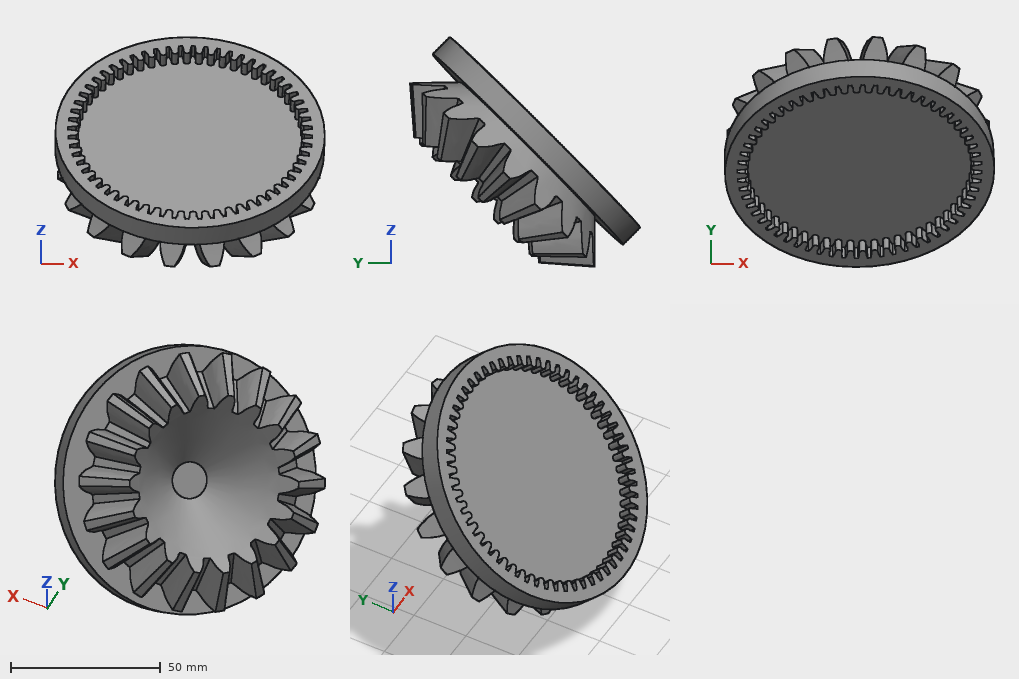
import cadquery as cq
import math

plate_radius = 45.0
plate_thickness = 8.0
pocket_depth = 5.0
ring_teeth = 60
ring_root_radius = 40.8
ring_tip_radius = 37.3
notch_root_width = 1.1
notch_mouth_width = 1.8
notch_mouth_outer_radius = 39.3
notch_mouth_inner_radius = 38.1
ring_phase = -1.5

module = 4.5
bevel_teeth = 18
pressure_angle = math.radians(20)
face_width = 18
pitch_circle_depth = 16.95
root_land = 3.1
bevel_phase = 1.5

flank_steps = 5
gap_overshoot = 5.4
gap_heel_scale = 1.25
gap_toe_scale = 0.5

lean = 1.3
tilt = 45

pitch_radius = module * bevel_teeth / 2
pitch_distance = pitch_radius * math.sqrt(2)
base_distance = pitch_distance * math.cos(pressure_angle)
flank_start = 0.8 * base_distance + 0.2 * pitch_distance
apex_depth = pitch_circle_depth + pitch_radius
addendum = module
dedendum = 1.25 * module


def polar(radius, angle):
    """Point at a radius and an angle in radians."""
    return (radius * math.cos(angle), radius * math.sin(angle))


def make_plate():
    return cq.Workplane("XY").circle(plate_radius).extrude(-plate_thickness)


def make_ring_pocket():
    """Blind pocket shaped as the internal gear, drawn one notch and one rounded tooth tip at a time."""
    pitch = 2 * math.pi / ring_teeth
    root = math.asin(notch_root_width / 2 / ring_root_radius)
    outer = math.asin(notch_mouth_width / 2 / notch_mouth_outer_radius)
    inner = math.asin(notch_mouth_width / 2 / notch_mouth_inner_radius)
    outline = cq.Workplane("XY").moveTo(*polar(notch_mouth_inner_radius, -inner))
    for i in range(ring_teeth):
        middle = i * pitch
        outline = (
            outline.lineTo(*polar(notch_mouth_outer_radius, middle - outer))
            .lineTo(*polar(ring_root_radius, middle - root))
            .lineTo(*polar(ring_root_radius, middle + root))
            .lineTo(*polar(notch_mouth_outer_radius, middle + outer))
            .lineTo(*polar(notch_mouth_inner_radius, middle + inner))
            .threePointArc(
                polar(ring_tip_radius, middle + pitch / 2),
                polar(notch_mouth_inner_radius, middle + pitch - inner),
            )
        )
    pocket = outline.close().extrude(-pocket_depth)
    return pocket.rotate((0, 0, 0), (0, 0, 1), ring_phase)


def tooth_tip(scale):
    """Radius and height of the tooth tip at the heel, or scaled toward the apex."""
    radius = pitch_radius + addendum * math.sqrt(0.5)
    rise = pitch_radius - addendum * math.sqrt(0.5)
    return (radius * scale, rise * scale - apex_depth)


def plate_back_radius(tip):
    """Radius where a 45 degree cone running inward from a tooth tip meets the plate back."""
    radius, height = tip
    return radius + height + plate_thickness


def make_bevel_blank():
    """Revolved blank: heel and toe are parallel cones, the toe cone hollowing the gear up to the plate."""
    heel_tip = tooth_tip(1)
    toe_tip = tooth_tip(1 - face_width / pitch_distance)
    profile = [
        (plate_back_radius(toe_tip), -plate_thickness),
        (plate_back_radius(heel_tip), -plate_thickness),
        heel_tip,
        toe_tip,
    ]
    return cq.Workplane("XZ").polyline(profile).close().revolve(360, (0, 0), (0, 1))


def flat_radius(distance):
    """Radius at which a back cone distance appears on the flat gap section, seen from the apex."""
    radius = distance * math.sqrt(0.5)
    return radius * pitch_radius / (2 * pitch_radius - radius)


def gap_half_angle(distance):
    """Half angle of the involute gap about the gear axis, at a back cone distance."""
    involute = math.tan(pressure_angle) - pressure_angle
    roll = math.acos(base_distance / distance)
    quarter_pitch = math.pi * module / 4 / pitch_distance
    cone_angle = quarter_pitch - involute + math.tan(roll) - roll
    return cone_angle * math.sqrt(2)


def gap_section(scale):
    """Closed outline of one tooth gap, scaled toward the apex: involute flanks closing in to a narrow root."""
    root_distance = pitch_distance - dedendum
    root_half_angle = math.asin(root_land / 2 / (root_distance * math.sqrt(0.5)))
    flank = [(flat_radius(root_distance), root_half_angle)]
    span = pitch_distance + gap_overshoot - flank_start
    for i in range(flank_steps + 1):
        distance = flank_start + span * i / flank_steps
        flank.append((flat_radius(distance), gap_half_angle(distance)))
    right = [polar(radius * scale, -angle) for radius, angle in flank]
    left = [polar(radius * scale, angle) for radius, angle in flank]
    outline = (
        cq.Workplane("XY", origin=(0, 0, pitch_radius * scale - apex_depth))
        .moveTo(*right[0])
        .spline(right[1:], includeCurrent=True)
        .lineTo(*left[-1])
        .spline(left[-2::-1], includeCurrent=True)
        .close()
    )
    return outline.wire().val()


def make_gap():
    """Tooth gap tapering toward the apex, longer than the blank at both ends."""
    return cq.Solid.makeLoft([gap_section(gap_heel_scale), gap_section(gap_toe_scale)], True)


def make_bevel_gear():
    gap = make_gap()
    step = 360 / bevel_teeth
    gaps = []
    for i in range(bevel_teeth):
        gaps.append(gap.rotate((0, 0, 0), (0, 0, 1), bevel_phase + (i + 0.5) * step))
    return make_bevel_blank().cut(cq.Workplane(cq.Compound.makeCompound(gaps)))


body = make_plate().union(make_bevel_gear()).cut(make_ring_pocket())
leaned = body.rotate((0, 0, 0), (0, 1, 0), lean)
result = leaned.rotate((0, 0, 0), (1, 0, 0), tilt)